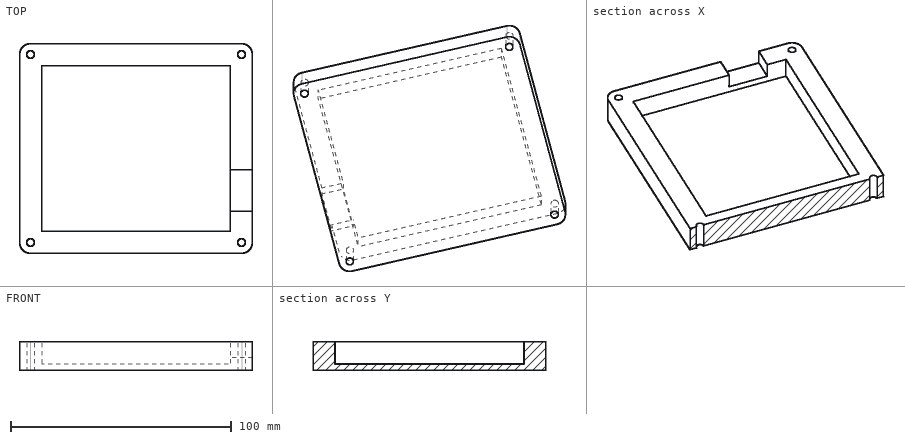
import cadquery as cq

length = 105.6
width = 95.2
height = 13.0
corner_radius = 5.0

wall = 10.0
pocket_depth = 10.0
pocket_length = length - 2 * wall
pocket_width = width - 2 * wall

notch_width = 18.7
notch_depth = 7.0
notch_center_y = -19.0

hole_diameter = 3.4
hole_spacing_x = length - 2 * corner_radius
hole_spacing_y = width - 2 * corner_radius


def make_block():
    block = cq.Workplane("XY").box(length, width, height, centered=(True, True, False))
    return block.edges("|Z").fillet(corner_radius)


def make_pocket():
    return (
        cq.Workplane("XY", origin=(0, 0, height - pocket_depth))
        .rect(pocket_length, pocket_width)
        .extrude(pocket_depth)
    )


def make_notch():
    return (
        cq.Workplane("XY", origin=(length / 2 - wall / 2, notch_center_y, height - notch_depth))
        .rect(wall, notch_width)
        .extrude(notch_depth)
    )


def make_screw_holes():
    return (
        cq.Workplane("XY")
        .rect(hole_spacing_x, hole_spacing_y, forConstruction=True)
        .vertices()
        .circle(hole_diameter / 2)
        .extrude(height)
    )


result = make_block().cut(make_pocket()).cut(make_notch()).cut(make_screw_holes())